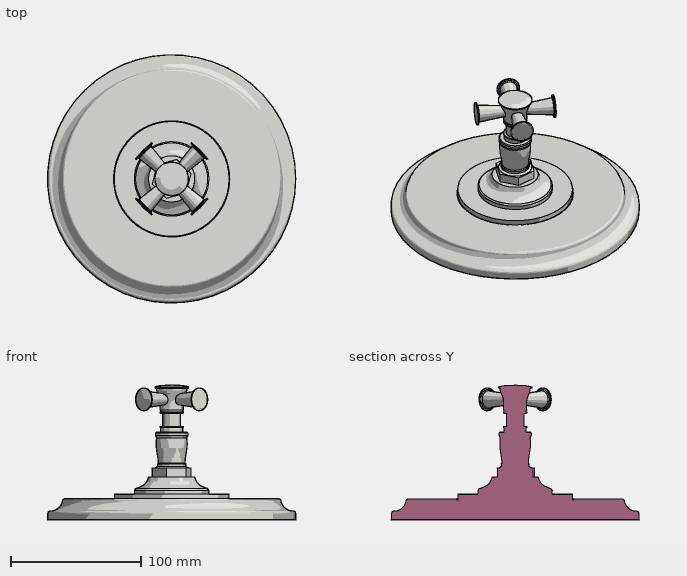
import cadquery as cq
import math

plate_radius = 95.2
plate_edge_round = 2.3
plate_rim_height = 6.9
cove_top_radius = 84.0
cove_top_height = 14.3
plate_crown_round = 2.0
plate_height = cove_top_height + plate_crown_round

disc_radius = 44.0
disc_top = 19.6
disc_gap = 0.5
disc_gap_depth = 1.0

dome_radius = 28.5
dome_wall_top = 22.7
dome_shoulder_radius = 27.6
dome_shoulder_height = 24.0
dome_step_radius = 25.1
dome_step_height = 25.0
dome_cove_radius = 23.8
dome_cove_height = 25.5
dome_mid_radius = 21.3
dome_mid_height = 26.9
dome_neck_radius = 19.2
dome_neck_height = 29.1
dome_top_radius = 17.7
dome_top = 33.0

nut_corner_radius = 15.5
nut_top = 39.8
nut_turn = 15.0

sleeve_foot_radius = 12.8
sleeve_band_radius = 10.9
sleeve_band_bottom = 41.0
sleeve_band_top = 42.7
sleeve_waist_radius = 10.3
sleeve_waist_height = 43.6
sleeve_cone_radius = 10.7
sleeve_cone_top = 47.6
sleeve_taper_radius = 11.8
sleeve_taper_top = 55.0
sleeve_belly_radius = 12.0
sleeve_belly_height = 59.5
sleeve_neck_radius = 11.6
sleeve_neck_height = 62.9
sleeve_lip_radius = 12.5
sleeve_lip_bottom = 64.8
sleeve_lip_top = 66.5
sleeve_top_radius = 11.8
sleeve_top = 67.2

collar_radius = 8.5
collar_rim_radius = 9.0
collar_rim_bottom = 70.7
collar_top = 71.6
stem_radius = 6.9

hub_bottom = 81.5
hub_radius = 9.0
hub_chamfer = 0.5
hub_bead_top = 82.7
hub_groove_radius = 8.5
hub_groove_top = 84.2
hub_body_top = 89.2
hub_flare_bottom = 97.0
hub_flare_bottom_radius = 10.9
hub_flare_top = 99.0
hub_flare_top_radius = 11.6
cap_bottom = 100.5
cap_bottom_radius = 11.8
cap_rim_bottom = 101.2
cap_rim_top = 102.0
cap_cone_height = 102.3
cap_radius = 13.0
cap_cone_radius = 12.2
cap_crown_radius = 8.4
cap_crown_height = 103.0
cap_top = 103.5

arm_count = 4
arm_axis_height = 92.4
arm_root_radius = 4.2
arm_root_distance = 7.6
arm_end_radius = 6.7
arm_flare_start = 29.0
arm_flare_radius = 7.6
arm_flare_end = 29.5
arm_flange_radius = 8.8
arm_flange_inner = 29.7
arm_flange_outer = 30.5
arm_face_radius = 8.2
arm_tip = 31.0


def revolve_z(profile):
    """Close an outline drawn in the XZ plane and turn it about the Z axis."""
    return profile.close().revolve(360, (0, 0, 0), (0, 1, 0))


def shallow_arc_mid(edge, tip):
    """Middle point of an arc that rises from edge and ends level at tip on the axis."""
    span = edge[0]
    rise = tip[1] - edge[1]
    radius = (span**2 + rise**2) / (2 * rise)
    half_sweep = math.asin(span / radius) / 2
    return (
        radius * math.sin(half_sweep),
        tip[1] - radius * (1 - math.cos(half_sweep)),
    )


def plate():
    crown_offset = plate_crown_round * (1 - math.sqrt(0.5))
    crown_mid = (cove_top_radius - crown_offset, plate_height - crown_offset)
    profile = (
        cq.Workplane("XZ")
        .lineTo(plate_radius, 0)
        .lineTo(plate_radius, plate_rim_height - plate_edge_round)
        .tangentArcPoint((plate_radius - plate_edge_round, plate_rim_height), relative=False)
        .tangentArcPoint((cove_top_radius, cove_top_height), relative=False)
        .threePointArc(crown_mid, (cove_top_radius - plate_crown_round, plate_height))
        .lineTo(0, plate_height)
    )
    gap_floor = plate_height - disc_gap_depth
    recess = (
        cq.Workplane("XY", origin=(0, 0, gap_floor))
        .circle(disc_radius + disc_gap)
        .extrude(disc_gap_depth)
    )
    return revolve_z(profile).cut(recess)


def disc():
    return cq.Workplane("XY").circle(disc_radius).extrude(disc_top)


def dome():
    profile = (
        cq.Workplane("XZ")
        .lineTo(dome_radius, 0)
        .lineTo(dome_radius, dome_wall_top)
        .lineTo(dome_shoulder_radius, dome_shoulder_height)
        .lineTo(dome_step_radius, dome_step_height)
        .lineTo(dome_cove_radius, dome_cove_height)
        .threePointArc(
            (dome_mid_radius, dome_mid_height),
            (dome_neck_radius, dome_neck_height),
        )
        .lineTo(dome_top_radius, dome_top)
        .lineTo(0, dome_top)
    )
    return revolve_z(profile)


def nut():
    return (
        cq.Workplane("XY")
        .polygon(6, 2 * nut_corner_radius)
        .extrude(nut_top)
        .rotate((0, 0, 0), (0, 0, 1), nut_turn)
    )


def sleeve():
    profile = (
        cq.Workplane("XZ")
        .lineTo(sleeve_foot_radius, 0)
        .lineTo(sleeve_foot_radius, nut_top)
        .lineTo(sleeve_band_radius, sleeve_band_bottom)
        .lineTo(sleeve_band_radius, sleeve_band_top)
        .lineTo(sleeve_waist_radius, sleeve_waist_height)
        .lineTo(sleeve_cone_radius, sleeve_cone_top)
        .lineTo(sleeve_taper_radius, sleeve_taper_top)
        .threePointArc(
            (sleeve_belly_radius, sleeve_belly_height),
            (sleeve_neck_radius, sleeve_neck_height),
        )
        .lineTo(sleeve_lip_radius, sleeve_lip_bottom)
        .lineTo(sleeve_lip_radius, sleeve_lip_top)
        .lineTo(sleeve_top_radius, sleeve_top)
        .lineTo(0, sleeve_top)
    )
    return revolve_z(profile)


def collar_and_stem():
    profile = (
        cq.Workplane("XZ")
        .lineTo(collar_radius, 0)
        .lineTo(collar_radius, collar_rim_bottom)
        .lineTo(collar_rim_radius, collar_rim_bottom)
        .lineTo(collar_rim_radius, collar_top)
        .lineTo(stem_radius, collar_top)
        .lineTo(stem_radius, hub_flare_bottom)
        .lineTo(0, hub_flare_bottom)
    )
    return revolve_z(profile)


def hub():
    crown_edge = (cap_crown_radius, cap_crown_height)
    crown_tip = (0, cap_top)
    profile = (
        cq.Workplane("XZ")
        .moveTo(0, hub_bottom)
        .lineTo(hub_radius - hub_chamfer, hub_bottom)
        .lineTo(hub_radius, hub_bottom + hub_chamfer)
        .lineTo(hub_radius, hub_bead_top)
        .lineTo(hub_groove_radius, hub_bead_top)
        .lineTo(hub_groove_radius, hub_groove_top)
        .lineTo(hub_radius, hub_groove_top)
        .lineTo(hub_radius, hub_body_top)
        .tangentArcPoint((hub_flare_bottom_radius, hub_flare_bottom), relative=False)
        .lineTo(hub_flare_top_radius, hub_flare_top)
        .lineTo(cap_bottom_radius, cap_bottom)
        .lineTo(cap_radius, cap_rim_bottom)
        .lineTo(cap_radius, cap_rim_top)
        .lineTo(cap_cone_radius, cap_cone_height)
        .lineTo(*crown_edge)
        .threePointArc(shallow_arc_mid(crown_edge, crown_tip), crown_tip)
    )
    return revolve_z(profile)


def arm():
    face_edge = (arm_face_radius, arm_flange_outer)
    face_tip = (0, arm_tip)
    profile = (
        cq.Workplane("XZ")
        .lineTo(arm_root_radius, 0)
        .lineTo(arm_root_radius, arm_root_distance)
        .lineTo(arm_end_radius, arm_flare_start)
        .lineTo(arm_flare_radius, arm_flare_end)
        .lineTo(arm_flange_radius, arm_flange_inner)
        .lineTo(arm_flange_radius, arm_flange_outer)
        .lineTo(*face_edge)
        .threePointArc(shallow_arc_mid(face_edge, face_tip), face_tip)
    )
    upright = revolve_z(profile)
    level = upright.rotate((0, 0, 0), (0, 1, 0), 90)
    return level.translate((0, 0, arm_axis_height))


result = plate()
for piece in (disc(), dome(), nut(), sleeve(), collar_and_stem(), hub()):
    result = result.union(piece)

arm_step = 360 / arm_count
for index in range(arm_count):
    result = result.union(arm().rotate((0, 0, 0), (0, 0, 1), arm_step * (index + 0.5)))